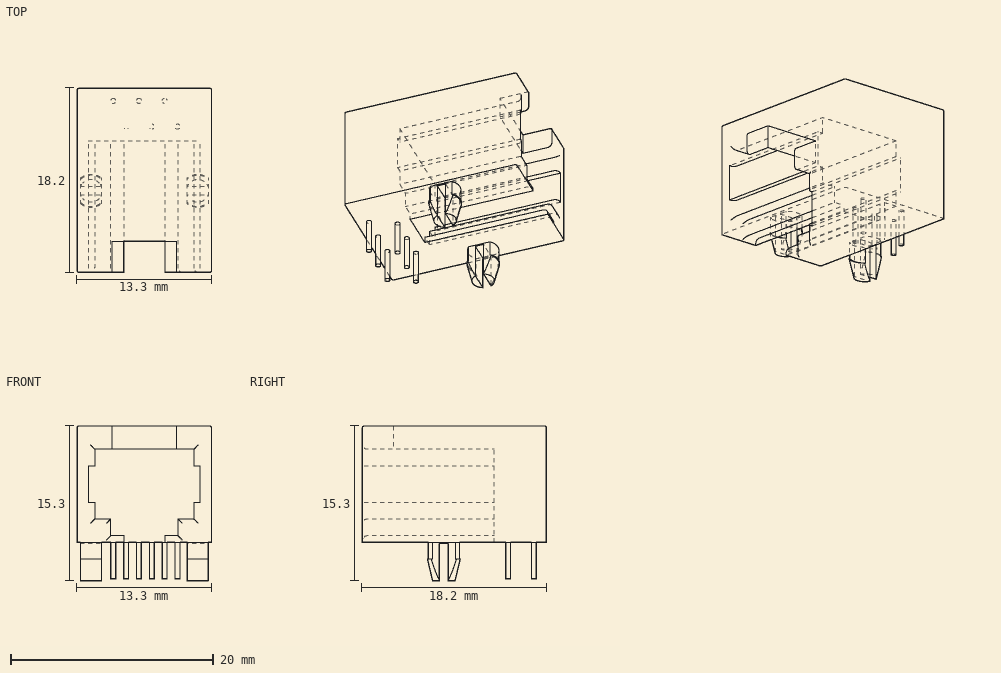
import cadquery as cq


HOUSING_WIDTH = 13.3
HOUSING_DEPTH = 18.2
HOUSING_HEIGHT = 11.5
EDGE_ROUND = 0.2

CAVITY_DEPTH = 13.0
CHAMBER_HALF_WIDTH = 4.9
CHAMBER_FLOOR_Z = 2.3
CAVITY_TOP_Z = 9.2
CHANNEL_HALF_WIDTH = 3.32
CHANNEL_FLOOR_Z = 0.65
MOUTH_ROUND = 0.5

TOP_NOTCH_WIDTH = 6.35
TOP_NOTCH_DEPTH = 3.07
SIDE_GROOVE_SPAN = 11.0
SIDE_GROOVE_BOTTOM_Z = 3.95
SIDE_GROOVE_TOP_Z = 7.55
FLOOR_SLOT_WIDTH = 4.06

PIN_COUNT = 6
PIN_PITCH = 1.27
PIN_ROW_SPACING = 2.54
PIN_DIAMETER = 0.5
PIN_LENGTH = 3.6
PIN_SET_CENTER_X = 0.1
REAR_ROW_Y = HOUSING_DEPTH - 1.25

PEG_SPACING = 10.54
PEG_Y = REAR_ROW_Y - 8.89
PEG_LENGTH = 3.8
PEG_SHANK_LENGTH = 1.65
PEG_SHANK_RADIUS = 1.55
PEG_BARB_RADIUS = 1.63
PEG_TIP_RADIUS = 1.12
PEG_WIDTH = 2.1
PEG_SLOT_WIDTH = 0.86
PEG_ROOT_THICKNESS = 0.13


def centered_block(width, y_start, y_end, z_bottom, z_top):
    """Box symmetric about X = 0 between the given Y and Z limits."""
    block = cq.Workplane("XY").box(
        width, y_end - y_start, z_top - z_bottom, centered=(True, False, False)
    )
    return block.translate((0, y_start, z_bottom))


def make_shell():
    """Solid block with rounded top edges and rounded upright corners."""
    shell = centered_block(HOUSING_WIDTH, 0, HOUSING_DEPTH, 0, HOUSING_HEIGHT)
    return shell.edges("|Z or >Z").fillet(EDGE_ROUND)


def cut_plug_cavity(body):
    """Stepped plug cavity whose mouth edges are all rounded over."""
    chamber = centered_block(
        2 * CHAMBER_HALF_WIDTH, 0, CAVITY_DEPTH, CHAMBER_FLOOR_Z, CAVITY_TOP_Z
    )
    channel = centered_block(
        2 * CHANNEL_HALF_WIDTH, 0, CAVITY_DEPTH, CHANNEL_FLOOR_Z, CHAMBER_FLOOR_Z
    )
    body = body.cut(chamber.union(channel))
    mouth = body.faces("<Y").val().innerWires()[0]
    return body.newObject(mouth.Edges()).fillet(MOUTH_ROUND)


def make_housing():
    body = cut_plug_cavity(make_shell())
    top_notch = centered_block(
        TOP_NOTCH_WIDTH, 0, TOP_NOTCH_DEPTH, CAVITY_TOP_Z, HOUSING_HEIGHT
    )
    side_grooves = centered_block(
        SIDE_GROOVE_SPAN, 0, CAVITY_DEPTH, SIDE_GROOVE_BOTTOM_Z, SIDE_GROOVE_TOP_Z
    )
    floor_slot = centered_block(FLOOR_SLOT_WIDTH, 0, CAVITY_DEPTH, 0, CHANNEL_FLOOR_Z)
    return body.cut(top_notch).cut(side_grooves).cut(floor_slot)


def make_pin(x, y):
    """Round contact tail hanging from the seating face."""
    return cq.Workplane("XY").center(x, y).circle(PIN_DIAMETER / 2).extrude(-PIN_LENGTH)


def make_peg(x):
    """Barbed peg with flats on its X sides, split by a slot that runs along X."""
    profile = [
        (0, 0),
        (PEG_SHANK_RADIUS, 0),
        (PEG_SHANK_RADIUS, -PEG_SHANK_LENGTH),
        (PEG_BARB_RADIUS, -PEG_SHANK_LENGTH),
        (PEG_TIP_RADIUS, -PEG_LENGTH),
        (0, -PEG_LENGTH),
    ]
    peg = cq.Workplane("XZ").polyline(profile).close().revolve(360, (0, 0, 0), (0, 1, 0))
    flats = centered_block(PEG_WIDTH, -PEG_BARB_RADIUS, PEG_BARB_RADIUS, -PEG_LENGTH, 0)
    slot = centered_block(
        PEG_WIDTH, -PEG_SLOT_WIDTH / 2, PEG_SLOT_WIDTH / 2, -PEG_LENGTH, -PEG_ROOT_THICKNESS
    )
    return peg.intersect(flats).cut(slot).translate((x, PEG_Y, 0))


housing = make_housing()

pins = []
for index in range(PIN_COUNT):
    pin_x = PIN_SET_CENTER_X + (index - (PIN_COUNT - 1) / 2) * PIN_PITCH
    row = index % 2
    pins.append(make_pin(pin_x, REAR_ROW_Y - row * PIN_ROW_SPACING))

pegs = [make_peg(side * PEG_SPACING / 2) for side in (-1, 1)]

result = cq.Compound.makeCompound(
    [housing.val()] + [pin.val() for pin in pins] + [peg.val() for peg in pegs]
)